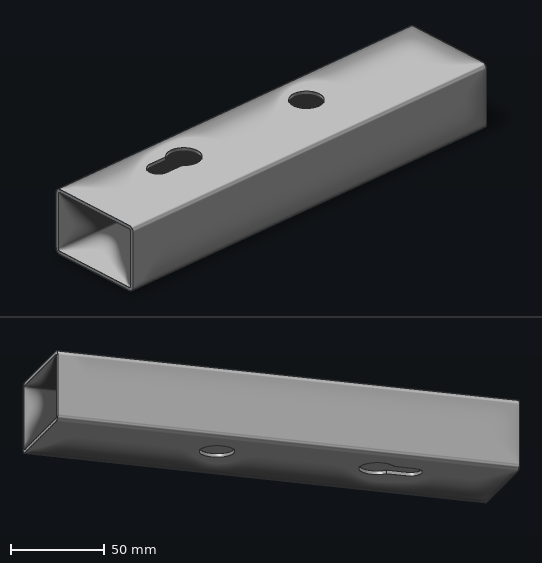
import cadquery as cq

length = 260.0
width = 60.0
height = 40.0
wall = 2.03
outer_radius = 1.5 * wall
inner_radius = outer_radius - wall

openings_x = -7.5
round_hole_diameter = 19.0
round_hole_y = 33.0
keyhole_diameter = 19.5
keyhole_y = -57.2
slot_width = 12.7
slot_end_y = -82.2


def rounded_bar(bar_width, bar_height, radius):
    """Full-length bar with its four long edges rounded."""
    return cq.Workplane("XY").box(bar_width, length, bar_height).edges("|Y").fillet(radius)


def through_cylinder(diameter, y):
    """Vertical cylinder spanning the tube height at the openings line."""
    return (
        cq.Workplane("XY")
        .center(openings_x, y)
        .circle(diameter / 2)
        .extrude(height, both=True)
    )


def keyhole_cutter():
    """Large round head with a narrower round-ended slot towards -Y."""
    slot_end_centre_y = slot_end_y + slot_width / 2
    slot_straight = keyhole_y - slot_end_centre_y
    slot = (
        cq.Workplane("XY")
        .center(openings_x, (keyhole_y + slot_end_centre_y) / 2)
        .slot2D(slot_straight + slot_width, slot_width, 90)
        .extrude(height, both=True)
    )
    return through_cylinder(keyhole_diameter, keyhole_y).union(slot)


tube = rounded_bar(width, height, outer_radius).cut(
    rounded_bar(width - 2 * wall, height - 2 * wall, inner_radius)
)

result = tube.cut(through_cylinder(round_hole_diameter, round_hole_y)).cut(keyhole_cutter())